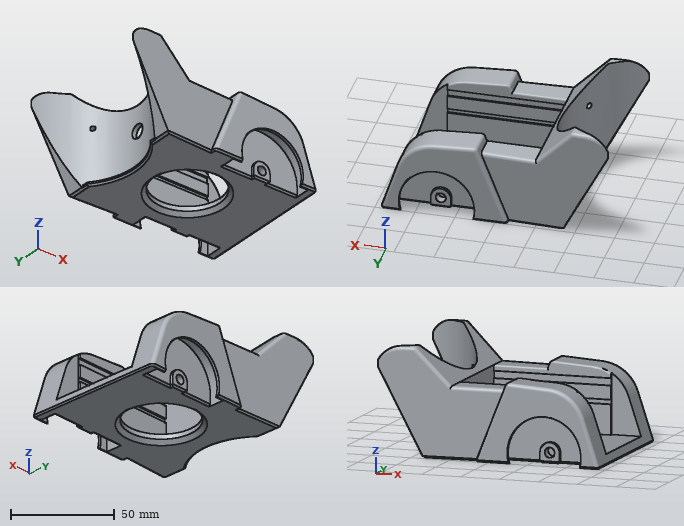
import cadquery as cq
import math


saddle_radius = 40.0
lip_radius = 37.5
lip_height = 2.0
lip_start_x = 28.4

neck_height = 54.2
neck_tip_half_width = 39.61
neck_tip_x = 5.57
neck_taper_angle = 2.5
neck_front_foot_x = 28.6
neck_front_lean = 27.8
nose_radius = 18.0
nose_end_x = 17.6
neck_top_end_x = 24.2
neck_shoulder_height = 35.85
neck_back_x = 85.0
outer_fillet = 2.0
inner_fillet = 1.0

overall_width = 81.0
housing_front_foot_x = 55.6
housing_front_lean = 21.9
housing_top_front_x = 71.4
housing_top_front_height = 39.7
housing_top_slope = 3.55
housing_end_foot_x = 119.5
housing_end_lean = 18.4
housing_round_radius = 20.6
base_chamfer = 1.0

channel_width = 47.7
channel_start_x = neck_top_end_x + neck_height - neck_shoulder_height
floor_thickness = 5.0
channel_recess_width = 50.4
channel_recess_start_x = 102.7
groove_depth = 1.0
groove_spans = ((20.0, 22.3), (29.25, 32.9))

wheel_x = 91.3
wheel_z = 5.3
arch_radius = 18.95
cavity_radius = 23.1
cavity_depth = 10.0
arch_wall = 1.6
hub_radius = 5.0
hub_length = 1.7
axle_diameter = 5.05
axle_depth = 5.0

floor_hole_diameter = 39.99
floor_hole_x = 70.8
floor_hole_chamfer = 2.3
saddle_hole_diameter = 8.0
saddle_hole_z = 23.65
pin_hole_diameter = 2.8
pin_hole_y = 24.4
pin_hole_z = 33.8
pin_hole_depth = 8.0

half_width = overall_width / 2
channel_half_width = channel_width / 2
SIDES = (-1, 1)
tolerance = 0.01


def run(angle_from_vertical, height):
    return height * math.tan(math.radians(angle_from_vertical))


def prism(points):
    """Full-width prism with the given X-Z outline."""
    return cq.Workplane("XZ").polyline(points).close().extrude(half_width, both=True)


def box(x_min, x_max, y_min, y_max, z_min, z_max):
    size = (x_max - x_min, y_max - y_min, z_max - z_min)
    return cq.Workplane("XY").box(*size, centered=False).translate((x_min, y_min, z_min))


def cylinder_along_y(radius, x, z, y_min, y_max):
    axis_start = cq.Vector(x, y_min, z)
    return cq.Workplane(cq.Solid.makeCylinder(radius, y_max - y_min, axis_start, cq.Vector(0, 1, 0)))


def neck():
    """Tapered block with a rounded nose, a 45 degree back slope and a flat shoulder."""
    nose_z = neck_height - nose_radius
    nose_start_x = nose_end_x - nose_radius
    nose_mid = nose_radius * math.sqrt(0.5)
    block = (
        cq.Workplane("XZ")
        .moveTo(nose_start_x, 0)
        .lineTo(nose_start_x, nose_z)
        .threePointArc((nose_end_x - nose_mid, nose_z + nose_mid), (nose_end_x, neck_height))
        .lineTo(neck_top_end_x, neck_height)
        .lineTo(channel_start_x, neck_shoulder_height)
        .lineTo(neck_back_x, neck_shoulder_height)
        .lineTo(neck_back_x, 0)
        .close()
        .extrude(overall_width, both=True)
    )

    def taper_half_width(x):
        return neck_tip_half_width - (x - neck_tip_x) * math.tan(math.radians(neck_taper_angle))

    front_y = taper_half_width(nose_start_x)
    back_y = taper_half_width(neck_back_x)
    plan = (
        cq.Workplane("XY")
        .polyline([
            (nose_start_x, -front_y),
            (neck_back_x, -back_y),
            (neck_back_x, back_y),
            (nose_start_x, front_y),
        ])
        .close()
        .extrude(neck_height)
    )
    block = block.intersect(plan)
    block = block.edges(ridge_at(neck_top_end_x, neck_height)).fillet(outer_fillet)
    block = block.edges().filter(runs_along_top).fillet(outer_fillet)
    block = block.cut(front_waste())
    block = block.edges().filter(lies_on_underside).filter(is_exposed_foot).chamfer(base_chamfer)
    block = block.cut(saddle_waste()).cut(channel_box(channel_start_x))
    return block.edges().filter(borders_channel).fillet(inner_fillet)


def front_waste():
    """Material in front of the leaning front face of the neck."""
    front_top_x = neck_front_foot_x - run(neck_front_lean, neck_height)
    return prism([
        (neck_front_foot_x, 0),
        (front_top_x, neck_height),
        (-neck_height, neck_height),
        (-neck_height, 0),
    ])


def saddle_waste():
    """Saddle cylinder, stepped in above the lip."""
    above_lip = cq.Workplane("XY").workplane(offset=lip_height).circle(saddle_radius).extrude(neck_height)
    beside_lip = cq.Workplane("XY").circle(saddle_radius).extrude(lip_height)
    beside_lip = beside_lip.cut(
        box(lip_start_x, saddle_radius, -half_width, half_width, 0, lip_height)
    )
    inside_lip = cq.Workplane("XY").circle(lip_radius).extrude(lip_height)
    lip_chamfer = cq.Workplane(
        cq.Solid.makeCone(lip_radius + base_chamfer, lip_radius, base_chamfer)
    )
    return above_lip.union(beside_lip).union(inside_lip).union(lip_chamfer)


def channel_box(start_x):
    return box(
        start_x, housing_end_foot_x,
        -channel_half_width, channel_half_width,
        floor_thickness, neck_height,
    )


def runs_along_top(edge):
    """Lengthwise edge on one of the tapered sides of the neck, above its shoulder."""
    bounds = edge.BoundingBox()
    above_shoulder = bounds.zmin > neck_shoulder_height - tolerance
    return above_shoulder and bounds.xlen > tolerance and bounds.ylen < channel_half_width


def lies_on_underside(edge):
    return edge.BoundingBox().zmax < tolerance


def is_exposed_foot(edge):
    """Every foot edge of the neck except the one buried between the housings."""
    return edge.BoundingBox().xmin < neck_back_x - tolerance


def borders_channel(edge):
    """Upper edge on a side wall of the channel."""
    bounds = edge.BoundingBox()
    on_wall = bounds.ylen < tolerance and abs(abs(bounds.ymin) - channel_half_width) < tolerance
    above_floor = bounds.zmax > floor_thickness + tolerance
    upright = bounds.xlen < tolerance
    return on_wall and above_floor and not upright


def borders_outer_side(edge):
    """Edge on an outer side of the housings, other than its foot."""
    bounds = edge.BoundingBox()
    on_side = bounds.ylen < tolerance and abs(abs(bounds.ymin) - half_width) < tolerance
    return on_side and bounds.zmax > tolerance


def ridge_at(x, z):
    """Selects the crosswise edge passing through the given X and Z."""
    return cq.selectors.BoxSelector(
        (x - tolerance, -half_width, z - tolerance),
        (x + tolerance, half_width, z + tolerance),
    )


def housing_outline():
    """X-Z outline of a wheel housing before its top end corner is rounded."""
    top_tangent = math.tan(math.radians(housing_top_slope))
    end_tangent = math.tan(math.radians(housing_end_lean))
    front_tangent = math.tan(math.radians(housing_front_lean))
    level = housing_top_front_height + housing_top_front_x * top_tangent
    front_z = (level - housing_front_foot_x * top_tangent) / (1 + front_tangent * top_tangent)
    end_z = (level - housing_end_foot_x * top_tangent) / (1 - end_tangent * top_tangent)
    return [
        (housing_front_foot_x, 0),
        (housing_front_foot_x + front_z * front_tangent, front_z),
        (housing_end_foot_x - end_z * end_tangent, end_z),
        (housing_end_foot_x, 0),
    ]


def housings():
    """Both wheel housings and the floor that joins them."""
    _, front_corner, end_corner, _ = housing_outline()
    body = prism(housing_outline())
    body = body.edges(ridge_at(*end_corner)).fillet(housing_round_radius)
    body = body.edges(ridge_at(*front_corner)).fillet(outer_fillet)
    body = body.edges().filter(borders_outer_side).fillet(outer_fillet)
    body = body.cut(channel_box(housing_front_foot_x))
    body = body.edges().filter(borders_channel).fillet(inner_fillet)
    return body.edges().filter(lies_on_underside).chamfer(base_chamfer)


def channel_reliefs():
    """Wider stretch at the open end and two grooves along each channel wall."""
    recess_half_width = channel_recess_width / 2
    groove_half_width = channel_half_width + groove_depth
    reliefs = box(
        channel_recess_start_x, housing_end_foot_x,
        -recess_half_width, recess_half_width,
        floor_thickness, neck_height,
    )
    for bottom, top in groove_spans:
        reliefs = reliefs.union(box(
            channel_start_x, channel_recess_start_x,
            -groove_half_width, groove_half_width,
            bottom, top,
        ))
    return reliefs


def rounded_post(radius, y_min, y_max):
    """Half-round on the wheel axis, carried straight down to the underside."""
    top = cylinder_along_y(radius, wheel_x, wheel_z, y_min, y_max)
    stem = box(wheel_x - radius, wheel_x + radius, y_min, y_max, 0, wheel_z)
    return top.union(stem)


def wheel_cavity():
    """Cavity of the wheel on the -Y side: arch opening, wider chamber behind it, hub left standing."""
    outer_y = -half_width
    chamber_y = outer_y + arch_wall
    back_y = outer_y + cavity_depth
    arch = cylinder_along_y(arch_radius, wheel_x, wheel_z, outer_y, back_y)
    chamber = rounded_post(cavity_radius, chamber_y, back_y)
    hub_y = back_y - hub_length
    hub = rounded_post(hub_radius, hub_y, back_y)
    axle_hole = cylinder_along_y(axle_diameter / 2, wheel_x, wheel_z, hub_y, hub_y + axle_depth)
    return arch.union(chamber).cut(hub).union(axle_hole)


def borders_cavity_back(edge):
    """Foot edge of the hub or of the wall behind a wheel cavity."""
    bounds = edge.BoundingBox()
    back_y = half_width - cavity_depth
    nearest_y = min(abs(bounds.ymin), abs(bounds.ymax))
    farthest_y = max(abs(bounds.ymin), abs(bounds.ymax))
    within_depth = nearest_y > back_y - tolerance and farthest_y < back_y + hub_length + tolerance
    return bounds.zmax < tolerance and within_depth


def floor_hole():
    radius = floor_hole_diameter / 2
    hole = cq.Workplane("XY").circle(radius).extrude(floor_thickness)
    rim = cq.Workplane(cq.Solid.makeCone(radius + floor_hole_chamfer, radius, floor_hole_chamfer))
    return hole.union(rim).translate((floor_hole_x, 0, 0))


def saddle_hole():
    """Crosswise hole from the saddle into the channel."""
    hole = cq.Workplane("YZ").center(0, saddle_hole_z).circle(saddle_hole_diameter / 2)
    return hole.extrude(channel_start_x)


def pin_holes():
    """Blind holes square to the saddle surface."""
    entry_x = math.sqrt(saddle_radius**2 - pin_hole_y**2)
    holes = cq.Workplane("XY")
    for side in SIDES:
        axis = cq.Vector(entry_x, side * pin_hole_y, 0)
        start = cq.Vector(0, 0, pin_hole_z)
        holes = holes.add(
            cq.Solid.makeCylinder(pin_hole_diameter / 2, saddle_radius + pin_hole_depth, start, axis)
        )
    return holes.combine()


near_cavity = wheel_cavity()
far_cavity = near_cavity.mirror("XZ")

result = (
    neck()
    .union(housings())
    .cut(channel_reliefs())
    .cut(near_cavity)
    .cut(far_cavity)
    .cut(floor_hole())
    .cut(saddle_hole())
    .cut(pin_holes())
)
result = result.edges().filter(borders_cavity_back).chamfer(base_chamfer)